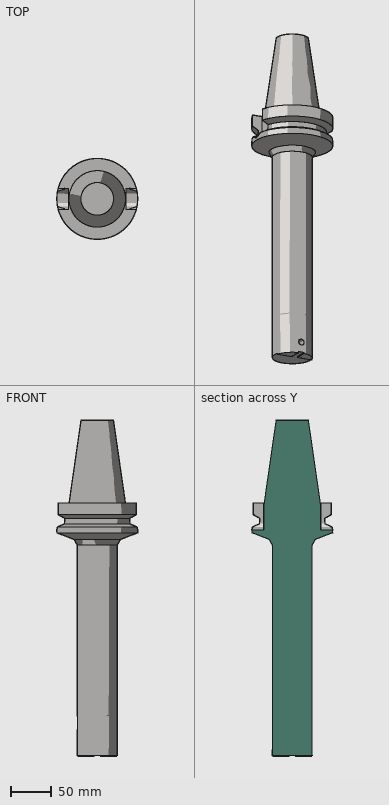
import cadquery as cq

total_length = 416.0

taper_length = 102.3
taper_small_diameter = 40.5
taper_large_diameter = 70.0

flange_diameter = 100.0
groove_diameter = 85.0
groove_top_depth = 14.5
groove_floor_top_depth = 19.0
groove_floor_bottom_depth = 25.8
groove_bottom_depth = 29.5
flange_rim_depth = 37.0
cone_end_depth = 45.5
cone_end_diameter = 57.5
neck_end_depth = 52.0

slot_width = 26.0
slot_bottom_depth = 33.3
slot_floor_x = 35.5

shank_diameter = 50.0
head_diameter = 49.5
head_length = 50.0
head_step_height = 1.2

pad_height = 1.2
pad_edge_y = 6.2
pad_slot_width = 7.5

side_hole_diameter = 7.5
side_hole_height = 14.0
side_hole_depth = 12.5

flange_top = total_length - taper_length


def make_turned_body():
    """Revolve the half profile of the holder about the Z axis."""
    flange_profile = [
        (flange_diameter, 0),
        (flange_diameter, groove_top_depth),
        (groove_diameter, groove_floor_top_depth),
        (groove_diameter, groove_floor_bottom_depth),
        (flange_diameter, groove_bottom_depth),
        (flange_diameter, flange_rim_depth),
        (cone_end_diameter, cone_end_depth),
        (shank_diameter, neck_end_depth),
    ]
    profile = [
        (0, total_length),
        (taper_small_diameter / 2, total_length),
        (taper_large_diameter / 2, flange_top),
    ]
    profile += [(diameter / 2, flange_top - depth) for diameter, depth in flange_profile]
    profile += [
        (shank_diameter / 2, head_length + head_step_height),
        (head_diameter / 2, head_length),
        (head_diameter / 2, 0),
        (0, 0),
    ]
    return cq.Workplane("XZ").polyline(profile).close().revolve(360, (0, 0, 0), (0, 1, 0))


def make_drive_slot(side):
    """Round-ended slot cutter, open at the top, on the +X (1) or -X (-1) side."""
    radius = slot_width / 2
    arc_center = flange_top - slot_bottom_depth + radius
    return (
        cq.Workplane("YZ", origin=(side * slot_floor_x, 0, 0))
        .moveTo(-radius, flange_top)
        .lineTo(-radius, arc_center)
        .threePointArc((0, arc_center - radius), (radius, arc_center))
        .lineTo(radius, flange_top)
        .close()
        .extrude(side * flange_diameter / 2)
    )


def make_end_face_relief():
    """Material removed around the pad on the lower end face."""
    radius = shank_diameter / 2
    beside_pad = cq.Workplane("XY").rect(shank_diameter, shank_diameter).extrude(pad_height)
    beside_pad = beside_pad.translate((0, pad_edge_y - radius, 0))
    slot = cq.Workplane("XY").rect(pad_slot_width, shank_diameter).extrude(pad_height)
    return beside_pad.union(slot.translate((0, radius, 0)))


def make_side_hole():
    """Blind hole running inwards from the +Y side of the head."""
    return (
        cq.Workplane("XZ", origin=(0, head_diameter / 2, side_hole_height))
        .circle(side_hole_diameter / 2)
        .extrude(side_hole_depth)
    )


result = make_turned_body()
for side in (-1, 1):
    result = result.cut(make_drive_slot(side))
result = result.cut(make_end_face_relief())
result = result.cut(make_side_hole())